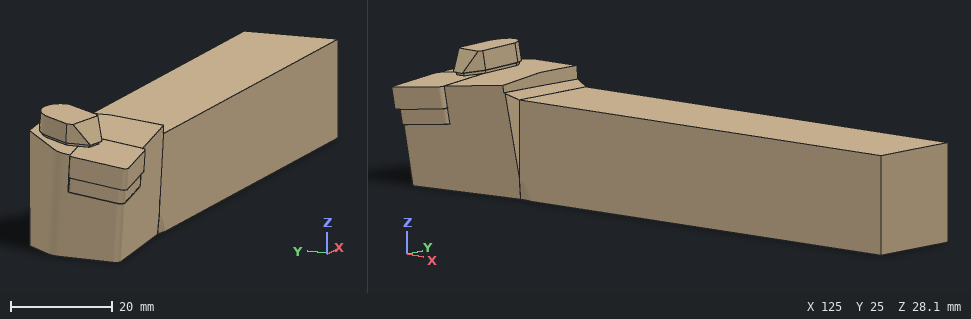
import cadquery as cq
import math

length = 125.0
shank_start = 29.8
shank_size = 20.0

seat_slope = 0.103
head_height = 24.0
flat_corner_x = 16.4

insert_side = 12.9
insert_thickness = 4.5
insert_radius = 0.9
lead_angle = math.radians(5)
tip_x = -0.09
tip_y = -5.09

overhang = 0.8
shim_inset = 0.56
head_end = 27.1
back_chamfer_start = 10.6
back_chamfer_depth = 9.5
back_chamfer_radius = 5.0
nose_radius = 1.1
shim_thickness = 3.2

neck_height = 21.4
ramp_length = 2.4
relief_radius = 8.1

clamp_height = 4.6
foot_height = 0.6
foot_inset = 0.5
clamp_slope_run = 3.1

trim_margin = 3.8
reach = 37.5
lean = cq.Vector(-seat_slope, -seat_slope, 1).normalized()


def on_seat(x, y, lift=0.0):
    """Point of the seat plane above plan position (x, y), moved along the lean."""
    z = head_height + seat_slope * (x - flat_corner_x + y - shank_size)
    return cq.Vector(x, y, z) + lean * lift


def along_edges(front, left):
    """Plan point measured from the insert tip along its front and left edges."""
    x = tip_x + front * math.cos(lead_angle) + left * math.sin(lead_angle)
    y = tip_y + front * math.sin(lead_angle) + left * math.cos(lead_angle)
    return x, y


def prism(plan, bottom, top):
    """Prism leaning with the seat normal, between two heights off the seat plane."""
    wire = cq.Wire.makePolygon([on_seat(x, y, bottom) for x, y in plan], close=True)
    return cq.Workplane(cq.Solid.extrudeLinear(wire, [], lean * (top - bottom)))


def rhombus(start, end):
    return [
        along_edges(start, start),
        along_edges(end, start),
        along_edges(end, end),
        along_edges(start, end),
    ]


def lean_edges(body, point):
    """Edge along the lean that is nearest to a point."""
    return body.edges(cq.selectors.ParallelDirSelector(lean)).edges(
        cq.selectors.NearestToPointSelector(point.toTuple())
    )


def flank_y(x):
    """Plan Y of the head's front flank at the seat plane."""
    flank_x, y = along_edges(overhang, overhang)
    return y + (x - flank_x) * math.tan(lead_angle)


def box(x0, x1, y0, y1, height):
    return cq.Workplane().box(x1 - x0, y1 - y0, height, centered=False).translate((x0, y0, 0))


def make_head():
    back = shank_size + trim_margin
    chamfer_end_y = shank_size - back_chamfer_depth
    corner_x, corner_y = along_edges(overhang, overhang)
    left_x = corner_x + (chamfer_end_y - corner_y) * math.tan(lead_angle)
    chamfer_run = (back_chamfer_start - left_x) / back_chamfer_depth
    plan = [
        (corner_x, corner_y),
        (head_end, flank_y(head_end)),
        (head_end, back),
        (back_chamfer_start + (back - shank_size) * chamfer_run, back),
        (left_x, chamfer_end_y),
    ]
    head = prism(plan, -reach, 0)
    head = lean_edges(head, on_seat(corner_x, corner_y, -reach / 2)).fillet(nose_radius)
    head = lean_edges(head, on_seat(left_x, chamfer_end_y, -reach / 2)).fillet(back_chamfer_radius)
    return head.intersect(box(-reach, reach, -reach, shank_size, head_height))


def make_neck():
    ramp_start = shank_start - ramp_length
    inside = head_end - ramp_length
    profile = [
        (inside, 0),
        (shank_start, 0),
        (shank_start, shank_size),
        (ramp_start, neck_height),
        (inside, neck_height),
    ]
    side = cq.Workplane("XZ").polyline(profile).close().extrude(2 * reach, both=True)
    plan = [
        (inside, flank_y(inside)),
        (shank_start, flank_y(shank_start)),
        (shank_start, shank_size + trim_margin),
        (inside, shank_size + trim_margin),
    ]
    chamfer_run = shank_start - ramp_start
    chamfer_rise = -flank_y(ramp_start)
    outline = [
        (ramp_start - chamfer_run, -2 * chamfer_rise),
        (shank_start, 0),
        (shank_start, shank_size),
        (ramp_start - chamfer_run, shank_size),
    ]
    chamfered = cq.Workplane().polyline(outline).close().extrude(head_height)
    return prism(plan, -reach, reach).intersect(side).intersect(chamfered)


def make_shank():
    shank = box(shank_start, length, 0, shank_size, shank_size)
    drop = on_seat(shank_start, 0).z / lean.z
    start_x = shank_start + drop * lean.x
    axis_x = start_x + relief_radius * math.sin(lead_angle)
    axis_y = flank_y(start_x) - relief_radius * math.cos(lead_angle)
    base = on_seat(axis_x, axis_y, -reach)
    relief = cq.Solid.makeCylinder(relief_radius, 2 * reach, base, lean)
    return shank.cut(cq.Workplane(relief))


def make_clamp():
    nose_left = (7.4, 5.8)
    nose_right = (10.8, 4.6)
    right_front = (14.4, 7.5)
    right_back = (16.9, 14.2)
    round_mid = (13.0, 18.1)
    left_back = (8.0, 15.2)
    left_front = (6.1, 10.5)
    outline = [right_back, round_mid, left_back]
    arc = cq.Edge.makeThreePointArc(*[on_seat(*p) for p in outline])
    sides = [left_back, left_front, nose_left, nose_right, right_front, right_back]
    edges = [cq.Edge.makeLine(on_seat(*p), on_seat(*q)) for p, q in zip(sides, sides[1:])]
    wire = cq.Wire.assembleEdges([arc] + edges)
    body_height = clamp_height - foot_height
    body = cq.Solid.extrudeLinear(wire, [], lean * body_height).translate(lean * foot_height)
    foot_wire = wire.offset2D(-foot_inset)[0]
    foot = cq.Solid.extrudeLinear(foot_wire, [], lean * foot_height)

    across = on_seat(*nose_right) - on_seat(*nose_left)
    slope_frame = cq.Plane(on_seat(*nose_left, foot_height), lean.cross(across), across)
    wedge = (
        cq.Workplane(slope_frame)
        .polyline([(0, 0), (clamp_slope_run, body_height), (0, body_height)])
        .close()
        .extrude(reach, both=True)
    )
    return cq.Workplane(body).cut(wedge).union(cq.Workplane(foot))


def make_shim():
    shim = prism(rhombus(shim_inset, insert_side), -insert_thickness - shim_thickness, -insert_thickness)
    return shim.edges(cq.selectors.ParallelDirSelector(lean)).fillet(nose_radius)


def make_holder():
    pocket = prism(rhombus(-overhang, insert_side), -insert_thickness - shim_thickness, 0)
    holder = make_head().union(make_neck()).union(make_shank()).cut(pocket)
    return holder.union(make_shim()).union(make_clamp())


def make_insert():
    insert = prism(rhombus(0, insert_side), -insert_thickness, 0)
    return insert.edges(cq.selectors.ParallelDirSelector(lean)).fillet(insert_radius)


holder = make_holder()
insert = make_insert()
result = cq.Compound.makeCompound([holder.val(), insert.val()])